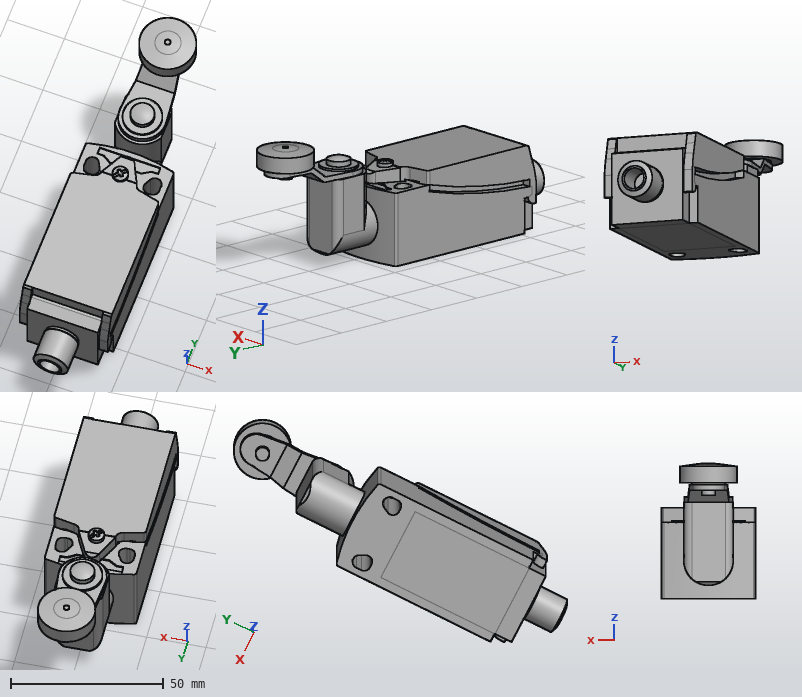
import cadquery as cq
import math


axis_z = 12.5
body_half_width = 31.0 / 2
body_front_y = -9.5
head_top_z = 31.7

front_bow = 2.0
front_corner_radius = 1.0
ledge_z = 25.1
base_end_y = -68.4
catch_z = 12.1
catch_root_y = -69.9
catch_end_y = -71.6
catch_tip_z = 13.0
catch_top_z = 15.7

cover_top_z = 30.0
cover_corner_y = -26.3
cover_rear_y = -69.4
groove_height = 2.4
groove_end_y = -70.6
groove_end_z = 18.0
groove_mid_y = -46.0
groove_mid_z = 20.5
wing_end_y = -73.5
wing_tip_z = 9.6
wing_hook_mid = (-71.0, 10.0)
wing_bend_z = 17.0
wing_bend_mid = (-73.0, 19.8)
wing_bend_top = (-72.3, 22.7)
wing_slope_top = (-71.2, 26.3)
wing_bevel_bottom = (-70.3, 29.5)
cover_neck_mid = (6.7, -23.1)
cover_neck_end = (8.4, -24.0)
cover_shoulder = (14.8, -25.5)
cover_shoulder_mid = (15.3, -25.8)
lip_gap = 0.5
lip_gap_front_y = -23.4
lip_gap_rear_y = -24.9

tongue_half_width = 6.2
tongue_root_y = -21.7
tongue_end_y = -12.8
tongue_root_z = 29.8
tongue_end_z = 29.2
tongue_tip_half_width = 2.4
tongue_shoulder_y = -14.0
tongue_nose_drop = 1.0
screw_y = -20.7
screw_radius = 2.6
screw_rim_z = 30.8
screw_top_z = 31.5
screw_slot_width = 1.0
screw_slot_depth = 0.6
screw_cross_length = 2.6
screw_slot_angle = 45

mount_hole_radius = 4.4 / 2
mount_hole_centres = [(11.0, -17.7), (11.0, -19.5), (10.0, -19.5)]
recess_depth = 0.5
recess_front_y = -11.5
recess_corner_y = -13.7
recess_rear_y = -15.5
recess_half_width = 10.6
recess_taper_start_x = 8.4
recess_taper_end_x = 5.5

block_half_width = 12.4
block_end_y = -74.6
block_ridge_y = -70.5
block_ridge_z = 24.9
block_end_z = 23.8
neck_radius = 5.7
neck_length = 1.1
connector_radius = 12.1 / 2
connector_tip_y = -86.5
connector_chamfer_length = 0.8
connector_rim_radius = 4.2
connector_bore_radius = 3.5
connector_bore_depth = 9.6

head_half_width = 8.1
head_back_radius = 9.1
head_front_y = 8.0
head_corner_radius = 2.6
head_toe_chamfer = 1.2

plate_thickness = 1.8
plate_rise = 4.1
lever_end_radius = 8.0
lever_tip_radius = 5.3
lever_tip_y = 25.8
lower_bend_y = 11.8
upper_bend_y = 17.0
washer_radius = 6.6
washer_thickness = 0.7
bolt_radius = 8.0 / 2
bolt_rim_z = 36.0
bolt_top_z = 36.9

roller_y = 23.5
roller_radius = 9.5
roller_bottom_z = 38.1
roller_rim_z = 43.5
roller_top_z = 44.6
roller_cap_radius = 4.3
roller_cap_rim_z = 44.2
roller_dimple_radius = 1.0
roller_dimple_depth = 0.2
spacer_radius = 5.6
pin_radius = 2.3
pin_bottom_z = 33.9


def cylinder_z(radius, y, z_bottom, z_top):
    """Upright cylinder on the symmetry plane."""
    return cq.Workplane("XY", origin=(0, y, z_bottom)).circle(radius).extrude(z_top - z_bottom)


def cylinder_y(radius, y_front, y_rear):
    """Cylinder along Y on the head and connector axis, from y_front back to y_rear."""
    return cq.Workplane("XZ", origin=(0, y_front, axis_z)).circle(radius).extrude(y_front - y_rear)


def side_profile(start):
    """Begin an outline in the YZ plane, to be extruded across X."""
    return cq.Workplane("YZ").moveTo(*start)


def sphere_cap(radius, y, z_rim, z_top):
    """Spherical cap that sits on a rim of the given radius."""
    profile = cq.Workplane("XZ", origin=(0, y, 0)).moveTo(0, z_rim).lineTo(radius, z_rim)
    sphere_radius = (radius**2 + (z_top - z_rim) ** 2) / (2 * (z_top - z_rim))
    mid_x = radius / 2
    mid_z = z_top - sphere_radius + math.sqrt(sphere_radius**2 - mid_x**2)
    return profile.threePointArc((mid_x, mid_z), (0, z_top)).close().revolve(360, (0, 0, 0), (0, 1, 0))


def make_base():
    """Lower shell with a bowed front, side catches at the rear and a curved upper edge."""
    profile = (
        side_profile((body_front_y, 0))
        .lineTo(base_end_y, 0)
        .lineTo(base_end_y, catch_z)
        .lineTo(catch_root_y, catch_z)
        .lineTo(catch_end_y, catch_tip_z)
        .lineTo(catch_end_y, catch_top_z)
        .lineTo(groove_end_y, groove_end_z - groove_height)
        .threePointArc(
            (groove_mid_y, groove_mid_z - groove_height),
            (cover_corner_y, ledge_z - groove_height),
        )
        .lineTo(cover_corner_y, ledge_z)
        .lineTo(body_front_y, ledge_z)
        .close()
        .extrude(body_half_width, both=True)
    )
    side_y = body_front_y - front_bow
    plan = (
        cq.Workplane("XY")
        .moveTo(-body_half_width, side_y)
        .threePointArc((0, body_front_y), (body_half_width, side_y))
        .lineTo(body_half_width, block_end_y)
        .lineTo(-body_half_width, block_end_y)
        .close()
        .extrude(ledge_z)
        .edges("|Z")
        .edges(">Y")
        .fillet(front_corner_radius)
    )
    return profile.intersect(plan)


def make_cover():
    """Cover with a shaped front edge, a curved lower edge and two hooked rear wings."""
    profile = (
        side_profile((tongue_root_y, ledge_z))
        .lineTo(cover_corner_y, ledge_z)
        .threePointArc((groove_mid_y, groove_mid_z), (groove_end_y, groove_end_z))
        .lineTo(groove_end_y, groove_end_z - groove_height)
        .lineTo(catch_end_y, catch_top_z)
        .lineTo(catch_end_y, catch_tip_z)
        .lineTo(catch_root_y, catch_z)
        .threePointArc(wing_hook_mid, (wing_end_y, wing_tip_z))
        .lineTo(wing_end_y, wing_bend_z)
        .threePointArc(wing_bend_mid, wing_bend_top)
        .lineTo(*wing_slope_top)
        .lineTo(*wing_bevel_bottom)
        .lineTo(cover_rear_y, cover_top_z)
        .lineTo(tongue_root_y, cover_top_z)
        .close()
        .extrude(body_half_width, both=True)
    )
    half_plan = (
        cq.Workplane("XY")
        .moveTo(0, tongue_root_y)
        .lineTo(tongue_half_width, tongue_root_y)
        .threePointArc(cover_neck_mid, cover_neck_end)
        .lineTo(*cover_shoulder)
        .threePointArc(cover_shoulder_mid, (body_half_width, cover_corner_y))
        .lineTo(body_half_width, block_end_y)
        .lineTo(0, block_end_y)
        .close()
        .extrude(cover_top_z)
    )
    plan = half_plan.union(half_plan.mirror("YZ"))
    between_wings = (
        cq.Workplane("XY")
        .rect(2 * block_half_width, 2 * (cover_rear_y - block_end_y))
        .extrude(cover_top_z)
        .translate((0, block_end_y, 0))
    )
    return profile.intersect(plan).cut(between_wings)


def make_core():
    """Inner walls that close the grooves between the base and the cover."""
    return (
        side_profile((cover_corner_y, ledge_z))
        .lineTo(cover_corner_y, 0)
        .lineTo(base_end_y, 0)
        .lineTo(base_end_y, ledge_z)
        .close()
        .extrude(block_half_width, both=True)
    )


def make_end_block():
    """Block between the wings that carries the connector."""
    return (
        side_profile((base_end_y, 0))
        .lineTo(block_end_y, 0)
        .lineTo(block_end_y, block_end_z)
        .lineTo(block_ridge_y, block_ridge_z)
        .lineTo(base_end_y, block_ridge_z)
        .close()
        .extrude(block_half_width, both=True)
    )


def make_connector():
    """Round plug with a neck, a chamfered rim and a blind bore."""
    rear_length = block_end_y - connector_tip_y
    chamfer_start = rear_length - connector_chamfer_length
    bore_bottom = rear_length - connector_bore_depth
    return (
        cq.Workplane("XY")
        .lineTo(neck_radius, 0)
        .lineTo(neck_radius, -neck_length)
        .lineTo(connector_radius, -neck_length)
        .lineTo(connector_radius, -chamfer_start)
        .lineTo(connector_rim_radius, -rear_length)
        .lineTo(connector_bore_radius, -rear_length)
        .lineTo(connector_bore_radius, -bore_bottom)
        .lineTo(0, -bore_bottom)
        .close()
        .revolve(360, (0, 0, 0), (0, 1, 0))
        .translate((0, block_end_y, axis_z))
    )


def make_tongue():
    """Tapered tongue in front of the cover, with a sloping top and a bevelled nose."""
    plan = (
        cq.Workplane("XY", origin=(0, 0, ledge_z))
        .moveTo(-tongue_half_width, tongue_root_y)
        .lineTo(-tongue_tip_half_width, tongue_shoulder_y)
        .threePointArc((0, tongue_end_y), (tongue_tip_half_width, tongue_shoulder_y))
        .lineTo(tongue_half_width, tongue_root_y)
        .close()
        .extrude(cover_top_z - ledge_z)
    )
    profile = (
        side_profile((tongue_root_y, ledge_z))
        .lineTo(tongue_root_y, tongue_root_z)
        .lineTo(tongue_shoulder_y, tongue_end_z)
        .lineTo(tongue_end_y, tongue_end_z - tongue_nose_drop)
        .lineTo(tongue_end_y, ledge_z)
        .close()
        .extrude(tongue_half_width, both=True)
    )
    return plan.intersect(profile)


def make_screw_head():
    """Domed screw head with a diagonal slot and a short cross slot."""
    head = cylinder_z(screw_radius, screw_y, ledge_z, screw_rim_z)
    head = head.union(sphere_cap(screw_radius, screw_y, screw_rim_z, screw_top_z))
    slots = (
        cq.Workplane("XY")
        .rect(2 * screw_radius, screw_slot_width)
        .extrude(screw_slot_depth)
        .union(cq.Workplane("XY").rect(screw_slot_width, screw_cross_length).extrude(screw_slot_depth))
        .rotate((0, 0, 0), (0, 0, 1), screw_slot_angle)
        .translate((0, screw_y, screw_top_z - screw_slot_depth))
    )
    return head.cut(slots)


def make_mount_hole(side):
    """Through hole with the outline of three equal circles wrapped by a belt; side is +1 or -1."""
    return (
        cq.Workplane("XY")
        .polyline([(side * x, y) for x, y in mount_hole_centres])
        .close()
        .offset2D(mount_hole_radius)
        .extrude(ledge_z)
    )


def make_front_recess():
    """Shallow recess in the ledge, narrowing toward the tongue."""
    half = [
        (recess_half_width, recess_front_y),
        (recess_half_width, recess_corner_y),
        (recess_taper_start_x, recess_corner_y),
        (recess_taper_end_x, recess_rear_y),
    ]
    outline = half + [(-x, y) for x, y in reversed(half)]
    return (
        cq.Workplane("XY", origin=(0, 0, ledge_z - recess_depth))
        .polyline(outline)
        .close()
        .extrude(recess_depth)
    )


def make_lip_gap():
    """Thin clearance across the full width between the cover's front lip and the ledge."""
    return (
        cq.Workplane("XY", origin=(0, (lip_gap_front_y + lip_gap_rear_y) / 2, ledge_z))
        .rect(2 * body_half_width, lip_gap_front_y - lip_gap_rear_y)
        .extrude(lip_gap)
    )


def make_switch_body():
    base = make_base().cut(make_front_recess())
    for side in (-1, 1):
        base = base.cut(make_mount_hole(side))
    cover = make_cover().cut(make_lip_gap())
    body = base.union(cover, clean=False)
    inner = make_core().union(make_end_block())
    for piece in (inner, make_connector(), make_tongue(), make_screw_head()):
        body = body.union(piece, clean=False)
    return body


def round_front_corners(prism):
    """Round the two upright corners at the front of the head."""
    return prism.edges("|Z").edges(">Y").fillet(head_corner_radius)


def make_head_column():
    """Upright column above the barrel axis, flat-sided with an arched back."""
    flat_end_y = -math.sqrt(head_back_radius**2 - head_half_width**2)
    column = (
        cq.Workplane("XY", origin=(0, 0, axis_z))
        .moveTo(head_half_width, flat_end_y)
        .lineTo(head_half_width, head_front_y)
        .lineTo(-head_half_width, head_front_y)
        .lineTo(-head_half_width, flat_end_y)
        .threePointArc((0, -head_back_radius), (head_half_width, flat_end_y))
        .close()
        .extrude(head_top_z - axis_z)
    )
    return round_front_corners(column)


def make_head_barrel():
    """Horizontal barrel from under the column back to the switch body, with a bevelled toe."""
    rear_y = body_front_y - front_bow
    toe_z = axis_z - head_half_width
    envelope = (
        side_profile((rear_y, toe_z))
        .lineTo(head_front_y - head_toe_chamfer, toe_z)
        .lineTo(head_front_y, toe_z + head_toe_chamfer)
        .lineTo(head_front_y, axis_z)
        .lineTo(0, axis_z)
        .lineTo(0, axis_z + head_half_width)
        .lineTo(rear_y, axis_z + head_half_width)
        .close()
        .extrude(head_half_width, both=True)
    )
    barrel = cylinder_y(head_half_width, head_front_y, rear_y)
    return barrel.intersect(round_front_corners(envelope))


def make_head():
    return make_head_column().union(make_head_barrel())


def make_lever_plate():
    """Cranked plate whose outline tapers between two rounded ends."""
    taper = math.asin((lever_end_radius - lever_tip_radius) / lever_tip_y)
    end_x = lever_end_radius * math.cos(taper)
    end_y = lever_end_radius * math.sin(taper)
    tip_x = lever_tip_radius * math.cos(taper)
    tip_y = lever_tip_y + lever_tip_radius * math.sin(taper)
    plan = (
        cq.Workplane("XY", origin=(0, 0, head_top_z))
        .moveTo(end_x, end_y)
        .lineTo(tip_x, tip_y)
        .threePointArc((0, lever_tip_y + lever_tip_radius), (-tip_x, tip_y))
        .lineTo(-end_x, end_y)
        .threePointArc((0, -lever_end_radius), (end_x, end_y))
        .close()
        .extrude(plate_thickness + plate_rise)
    )
    slope = math.atan2(plate_rise, upper_bend_y - lower_bend_y)
    bend_shift = plate_thickness * math.tan(slope / 2)
    top_z = head_top_z + plate_thickness
    rear_y = -lever_end_radius
    front_y = lever_tip_y + lever_tip_radius
    crank = (
        side_profile((rear_y, head_top_z))
        .lineTo(rear_y, top_z)
        .lineTo(lower_bend_y, top_z)
        .lineTo(upper_bend_y, top_z + plate_rise)
        .lineTo(front_y, top_z + plate_rise)
        .lineTo(front_y, head_top_z + plate_rise)
        .lineTo(upper_bend_y + bend_shift, head_top_z + plate_rise)
        .lineTo(lower_bend_y + bend_shift, head_top_z)
        .close()
        .extrude(lever_end_radius, both=True)
    )
    return plan.intersect(crank)


def make_pivot_bolt():
    """Washer and domed bolt head over the pivot."""
    washer_bottom_z = head_top_z + plate_thickness
    washer = cylinder_z(washer_radius, 0, washer_bottom_z, washer_bottom_z + washer_thickness)
    bolt = cylinder_z(bolt_radius, 0, washer_bottom_z, bolt_rim_z)
    return washer.union(bolt).union(sphere_cap(bolt_radius, 0, bolt_rim_z, bolt_top_z))


def make_roller():
    """Roller with a conical top and dimpled cap, on a spacer and held by a pin through the plate."""
    plate_top_z = head_top_z + plate_thickness + plate_rise
    roller = cylinder_z(roller_radius, roller_y, roller_bottom_z, roller_rim_z)
    cone = (
        cq.Workplane("XZ", origin=(0, roller_y, 0))
        .moveTo(0, roller_rim_z)
        .lineTo(roller_radius, roller_rim_z)
        .lineTo(roller_cap_radius, roller_cap_rim_z)
        .lineTo(0, roller_cap_rim_z)
        .close()
        .revolve(360, (0, 0, 0), (0, 1, 0))
    )
    cap = sphere_cap(roller_cap_radius, roller_y, roller_cap_rim_z, roller_top_z)
    roller = roller.union(cone).union(cap)
    dimple = cylinder_z(roller_dimple_radius, roller_y, roller_top_z - roller_dimple_depth, roller_top_z)
    spacer = cylinder_z(spacer_radius, roller_y, plate_top_z, roller_bottom_z)
    pin = cylinder_z(pin_radius, roller_y, pin_bottom_z, plate_top_z)
    return roller.cut(dimple).union(spacer).union(pin)


def make_lever():
    return make_lever_plate().union(make_pivot_bolt()).union(make_roller())


switch_body = make_switch_body()
head = make_head().cut(switch_body)
lever = make_lever()

result = cq.Compound.makeCompound([body.solids().val() for body in (switch_body, head, lever)])